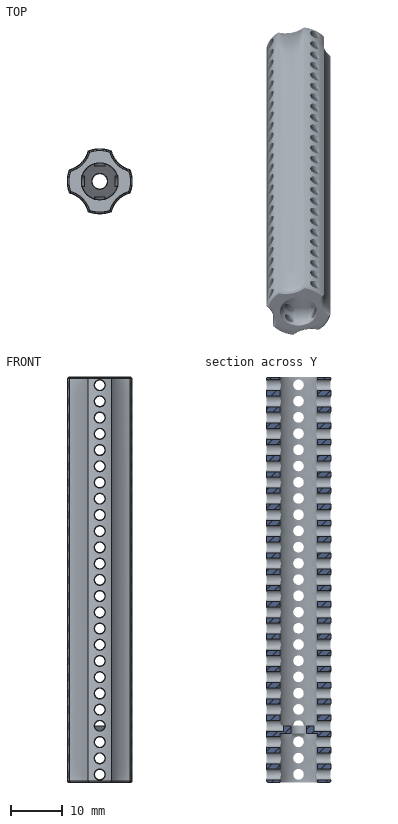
import cadquery as cq
import math

length = 78.1
outer_diameter = 12.5
end_chamfer = 0.3

lobe_count = 4
lobe_width = 4.45
flute_depth = 1.25

bore_diameter = 7.1
web_hole_diameter = 3.0
web_top = 10.9
web_thickness = 1.6

radial_hole_diameter = 2.0
radial_hole_pitch = 3.1
radial_hole_depth = 3.3

outer_radius = outer_diameter / 2
radial_hole_count = round(length / radial_hole_pitch)
sector_angle = 360 / lobe_count


def polar_point(radius, angle):
    """Point at the given radius and angle (degrees) around the axis."""
    return (radius * math.cos(math.radians(angle)), radius * math.sin(math.radians(angle)))


def make_body():
    """Fluted bar: convex lobe crests joined by concave flute arcs."""
    half_lobe_angle = math.degrees(math.asin(lobe_width / 2 / outer_radius))
    outline = cq.Workplane("XY").moveTo(*polar_point(outer_radius, -half_lobe_angle))
    for index in range(lobe_count):
        crest_angle = index * sector_angle
        crest_end = polar_point(outer_radius, crest_angle + half_lobe_angle)
        flute_bottom = polar_point(outer_radius - flute_depth, crest_angle + sector_angle / 2)
        next_crest = polar_point(outer_radius, crest_angle + sector_angle - half_lobe_angle)
        outline = outline.threePointArc(polar_point(outer_radius, crest_angle), crest_end)
        outline = outline.threePointArc(flute_bottom, next_crest)
    return outline.close().extrude(length).faces("<Z or >Z").chamfer(end_chamfer)


def cylinder(diameter, bottom, top):
    """Upright cylinder on the axis between two heights."""
    return cq.Workplane("XY", origin=(0, 0, bottom)).circle(diameter / 2).extrude(top - bottom)


def cut_bore(body):
    """Bore from both ends up to the web, then pierce the web."""
    web_bottom = web_top - web_thickness
    body = body.cut(cylinder(bore_diameter, web_top, length))
    body = body.cut(cylinder(bore_diameter, 0, web_bottom))
    return body.cut(cylinder(web_hole_diameter, web_bottom, web_top))


def cut_radial_holes(body):
    """Flat-ended holes from each crest into the bore; those at the web only notch its rim."""
    hole_row = (
        cq.Workplane("YZ", origin=(outer_radius, 0, length / 2))
        .rarray(0.8, radial_hole_pitch, 1, radial_hole_count)
        .circle(radial_hole_diameter / 2)
        .extrude(-radial_hole_depth)
    )
    for index in range(lobe_count):
        body = body.cut(hole_row.rotate((0, 0, 0), (0, 0, 1), index * sector_angle))
    return body


result = cut_radial_holes(cut_bore(make_body()))